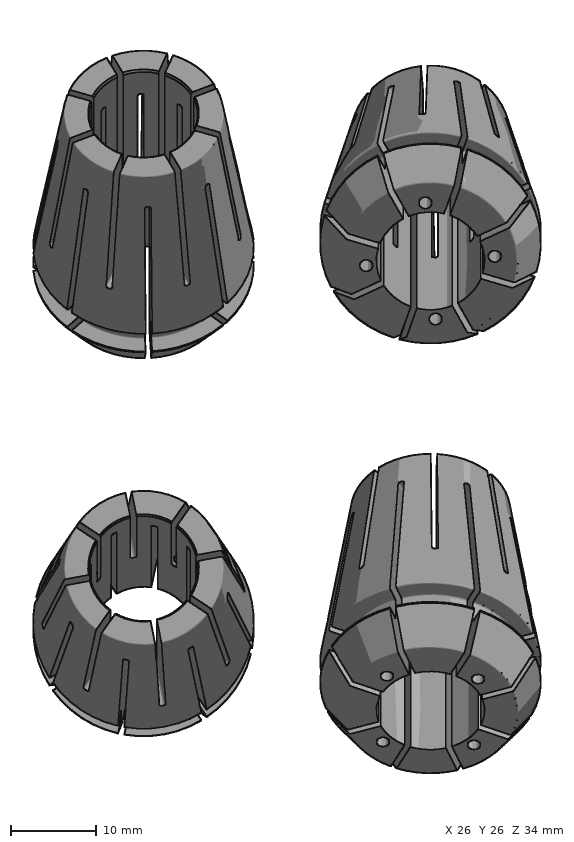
import cadquery as cq
import math

length = 34.0
max_radius = 13.0
bore_diameter = 12.7
edge_fillet = 0.25

bore_chamfer_width = 0.17
bore_chamfer_height = 0.3

nut_cone_angle = math.radians(30)
clamp_cone_angle = math.radians(8)

groove_diameter = 22.0
groove_bottom = 4.93
groove_top = 8.15
flange_land = 0.2

slot_width = 0.75
slots_per_end = 8
slot_pitch = 360 / slots_per_end
lower_slot_top = 29.07
upper_slot_bottom = 14.95
slot_end_tilt = 6.0

relief_diameter = 1.5
relief_circle_radius = 7.58
relief_count = slots_per_end // 2
relief_start_angle = 1.5 * slot_pitch

bore_radius = bore_diameter / 2
groove_radius = groove_diameter / 2
nut_cone_top = groove_bottom - flange_land
nut_face_radius = max_radius - nut_cone_top * math.tan(nut_cone_angle)
rim_center_radius = max_radius - edge_fillet
clamp_base_radius = rim_center_radius + edge_fillet * math.cos(clamp_cone_angle)
clamp_base_z = groove_top + edge_fillet * (1 + math.sin(clamp_cone_angle))


def clamp_radius(z):
    """Radius of the clamping cone at height z."""
    return clamp_base_radius - (z - clamp_base_z) * math.tan(clamp_cone_angle)


def collet_body():
    """Body turned about Z, with rounded outer edges on both end faces."""
    body = (
        cq.Workplane("XZ")
        .moveTo(bore_radius, 0)
        .lineTo(nut_face_radius, 0)
        .lineTo(max_radius, nut_cone_top)
        .lineTo(max_radius, groove_bottom)
        .lineTo(groove_radius + edge_fillet, groove_bottom)
        .radiusArc((groove_radius, groove_bottom + edge_fillet), edge_fillet)
        .lineTo(groove_radius, groove_top - edge_fillet)
        .radiusArc((groove_radius + edge_fillet, groove_top), edge_fillet)
        .lineTo(rim_center_radius, groove_top)
        .radiusArc((clamp_base_radius, clamp_base_z), -edge_fillet)
        .lineTo(clamp_radius(length), length)
        .lineTo(bore_radius + bore_chamfer_width, length)
        .lineTo(bore_radius, length - bore_chamfer_height)
        .close()
        .revolve(360, (0, 0, 0), (0, 1, 0))
    )
    outer_edge = cq.selectors.RadiusNthSelector(-1)
    body = body.faces(">Z").edges(outer_edge).fillet(edge_fillet)
    return body.faces("<Z").edges(outer_edge).fillet(edge_fillet)


def slot_cutter(round_end_z, direction, angle):
    """Slot on one side of the axis, running up (+1) or down (-1) from its rounded end.

    The cutter is tilted about its end at the cone surface, so it reaches deeper at the bore.
    """
    half_width = slot_width / 2
    shoulder_z = round_end_z + direction * half_width
    open_z = round_end_z + direction * length
    mouth_radius = clamp_radius(round_end_z)
    return (
        cq.Workplane("YZ")
        .moveTo(-half_width, open_z)
        .lineTo(-half_width, shoulder_z)
        .threePointArc((0, round_end_z), (half_width, shoulder_z))
        .lineTo(half_width, open_z)
        .close()
        .extrude(2 * max_radius)
        .rotate(
            (mouth_radius, 0, round_end_z),
            (mouth_radius, 1, round_end_z),
            -direction * slot_end_tilt,
        )
        .rotate((0, 0, 0), (0, 0, 1), angle)
    )


def relief_holes():
    """Vertical holes that end inside the upper slots."""
    return (
        cq.Workplane("XY")
        .polarArray(relief_circle_radius, relief_start_angle, 360, relief_count)
        .circle(relief_diameter / 2)
        .extrude(upper_slot_bottom + slot_width / 2)
    )


result = collet_body()

for i in range(slots_per_end):
    lower_angle = i * slot_pitch
    upper_angle = lower_angle + slot_pitch / 2
    result = result.cut(slot_cutter(lower_slot_top, -1, lower_angle))
    result = result.cut(slot_cutter(upper_slot_bottom, 1, upper_angle))

result = result.cut(relief_holes())